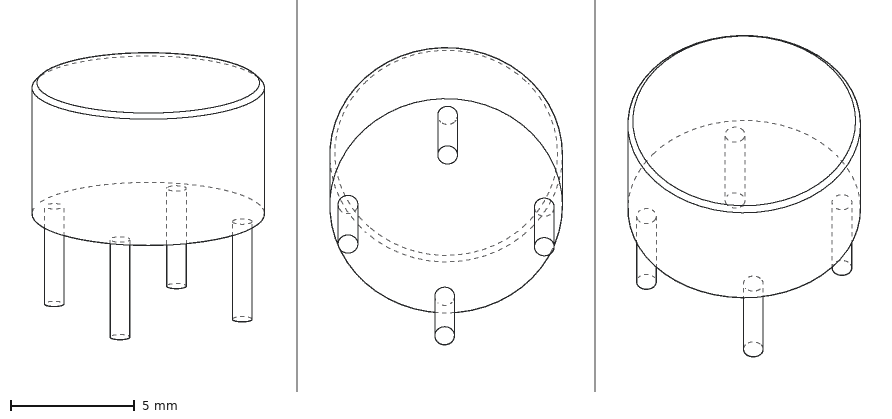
import cadquery as cq

overall_height = 9.6
case_diameter = 9.4
case_height = 5.5
rim_chamfer = 0.2
pin_diameter = 0.8
pin_spacing = 5.61

pin_length = overall_height - case_height


def make_case():
    """Upright round case standing on Z = 0, with a chamfered top rim."""
    case = cq.Workplane("XY").circle(case_diameter / 2).extrude(case_height)
    return case.faces(">Z").edges().chamfer(rim_chamfer)


def make_pin(x, y):
    """Straight round pin hanging from the underside of the case."""
    return cq.Workplane("XY").center(x, y).circle(pin_diameter / 2).extrude(-pin_length)


case = make_case()

pins = []
for x_side in (-1, 1):
    for y_side in (-1, 1):
        pin = make_pin(x_side * pin_spacing / 2, y_side * pin_spacing / 2)
        pins.append(pin.val())

result = cq.Compound.makeCompound([case.val(), *pins])